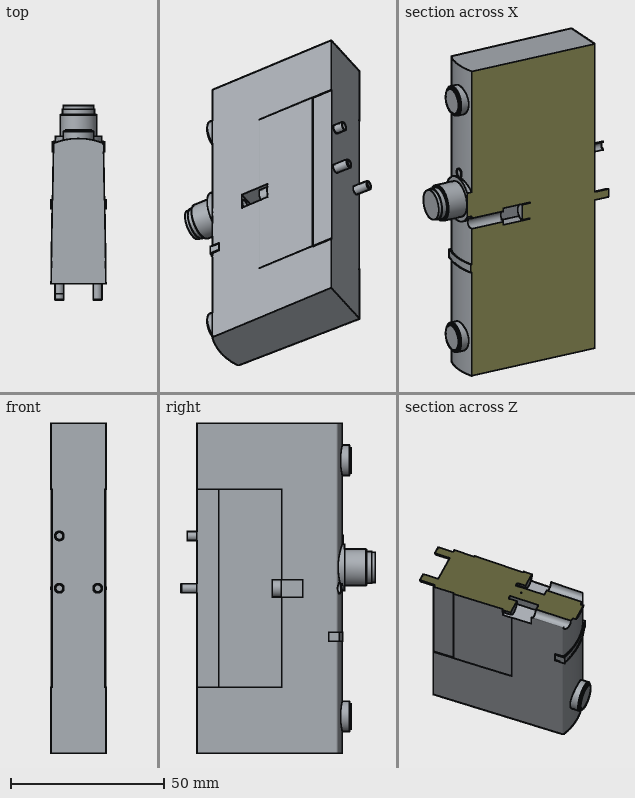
import cadquery as cq
import math

HOUSING_HEIGHT = 107.8
FRONT_HALF_WIDTH = 8.99
SIDE_DRAFT = math.radians(1.0)
BACK_CREST_Y = 47.5
BACK_RADIUS = 22.0
BACK_EDGE_FILLET = 0.7

PANEL_HEIGHT = 64.7
STRIP_END_Y = 7.2
STRIP_RECESS = 0.3
FIELD_END_Y = 27.7
FIELD_PROUD = 0.06
FIELD_END_BEVEL = 0.35

SCREW_X = 6.25
SCREW_DIAMETER = 3.0
SCREW_TIP_Y = -5.3
SCREW_HEAD_DIAMETER = 5.5
SCREW_HEAD_LENGTH = 3.0
PIN_CHAMFER = 0.3
POCKET_START_Y = 24.55
POCKET_END_Y = 34.55
POCKET_HEIGHT = 5.7
POCKET_INNER_X = 2.5
DRIVER_HOLE_DIAMETER = 3.5

LOCATING_PIN_Z = 17.1
LOCATING_PIN_TIP_Y = -3.2
LOCATING_PIN_BORE = 2.4

CONNECTOR_Z = 6.85
FLANGE_DIAMETER = 15.2
FLANGE_END_Y = 48.25
BARREL_DIAMETER = 12.0
BARREL_END_Y = 55.4
BARREL_CHAMFER = 0.3
COLLAR_DIAMETER = 10.5
TIP_DIAMETER = 10.0
COLLAR_END_Y = 57.1
CONNECTOR_END_Y = 58.3

CAP_DIAMETER = 10.0
CAP_RIM_Y = 50.0
CAP_CHAMFER = 0.3
CAP_TOP_DIAMETER = 8.35
CAP_END_Y = 50.4
CAP_Z = 41.8
INDICATOR_DIAMETER = 3.0
INDICATOR_Z = 15.9
INDICATOR_PROUD = 0.3
BAND_START_Y = 43.1
BAND_SHOULDER_Y = 46.5
BAND_HALF_WIDTH = 8.6
BAND_PROUD = 0.25
BAND_BOTTOM_Z = -17.3
BAND_HEIGHT = 2.9

BACK_ROOT_Y = 42.0

MARGIN = 1.0


def half_width(y):
    """Half width of the drafted housing at depth y."""
    return FRONT_HALF_WIDTH - y * math.tan(SIDE_DRAFT)


def back_y(x):
    """Depth of the rounded back at offset x from the middle."""
    return BACK_CREST_Y - BACK_RADIUS + math.sqrt(BACK_RADIUS**2 - x**2)


def prism(outline, bottom, height):
    """Extrude a closed XY outline upward from the given Z."""
    return outline.close().extrude(height).translate((0, 0, bottom))


def rod(diameter, start_y, end_y, x=0.0, z=0.0):
    """Cylinder along Y between two depths."""
    axis_plane = cq.Plane(origin=(x, start_y, z), xDir=(1, 0, 0), normal=(0, 1, 0))
    return cq.Workplane(axis_plane).circle(diameter / 2).extrude(end_y - start_y)


def make_housing():
    corner_x = half_width(back_y(half_width(BACK_CREST_Y)))
    corner_y = back_y(corner_x)
    outline = (
        cq.Workplane("XY")
        .moveTo(-FRONT_HALF_WIDTH, 0)
        .lineTo(FRONT_HALF_WIDTH, 0)
        .lineTo(corner_x, corner_y)
        .threePointArc((0, BACK_CREST_Y), (-corner_x, corner_y))
    )
    body = prism(outline, -HOUSING_HEIGHT / 2, HOUSING_HEIGHT)
    back_corners = cq.selectors.BoxSelector(
        (-FRONT_HALF_WIDTH, corner_y - MARGIN, -MARGIN),
        (FRONT_HALF_WIDTH, corner_y + MARGIN, MARGIN),
    )
    return body.edges("|Z").edges(back_corners).fillet(BACK_EDGE_FILLET)


def add_panel(body, side):
    field_tip_y = FIELD_END_Y - FIELD_END_BEVEL
    field = (
        cq.Workplane("XY")
        .moveTo(side * SCREW_X, STRIP_END_Y)
        .lineTo(side * (half_width(STRIP_END_Y) + FIELD_PROUD), STRIP_END_Y)
        .lineTo(side * (half_width(field_tip_y) + FIELD_PROUD), field_tip_y)
        .lineTo(side * half_width(FIELD_END_Y), FIELD_END_Y)
        .lineTo(side * SCREW_X, FIELD_END_Y)
    )
    strip = (
        cq.Workplane("XY")
        .moveTo(side * (FRONT_HALF_WIDTH - STRIP_RECESS), 0)
        .lineTo(side * (FRONT_HALF_WIDTH + STRIP_RECESS), 0)
        .lineTo(side * (FRONT_HALF_WIDTH + STRIP_RECESS), STRIP_END_Y)
        .lineTo(side * (half_width(STRIP_END_Y) - STRIP_RECESS), STRIP_END_Y)
    )
    panel_bottom = -PANEL_HEIGHT / 2
    body = body.union(prism(field, panel_bottom, PANEL_HEIGHT))
    return body.cut(prism(strip, panel_bottom, PANEL_HEIGHT))


def add_screw(body, side):
    x = side * SCREW_X
    pocket_depth = FRONT_HALF_WIDTH + MARGIN - POCKET_INNER_X
    pocket = cq.Workplane("XY").box(
        pocket_depth, POCKET_END_Y - POCKET_START_Y, POCKET_HEIGHT
    ).translate((
        side * (POCKET_INNER_X + pocket_depth / 2),
        (POCKET_START_Y + POCKET_END_Y) / 2,
        0,
    ))
    driver_hole = rod(DRIVER_HOLE_DIAMETER, POCKET_START_Y, BACK_CREST_Y, x)
    head = rod(SCREW_HEAD_DIAMETER, POCKET_START_Y, POCKET_START_Y + SCREW_HEAD_LENGTH, x)
    shank = rod(SCREW_DIAMETER, SCREW_TIP_Y, POCKET_START_Y, x)
    shank = shank.faces("<Y").chamfer(PIN_CHAMFER)
    return body.cut(pocket).cut(driver_hole).union(head).union(shank)


def add_locating_pin(body):
    pin = rod(SCREW_DIAMETER, LOCATING_PIN_TIP_Y, 0, -SCREW_X, LOCATING_PIN_Z)
    bore = rod(LOCATING_PIN_BORE, LOCATING_PIN_TIP_Y, 0, -SCREW_X, LOCATING_PIN_Z)
    return body.union(pin).cut(bore)


def make_connector():
    barrel = rod(BARREL_DIAMETER, FLANGE_END_Y, BARREL_END_Y, z=CONNECTOR_Z)
    barrel = barrel.faces(">Y").chamfer(BARREL_CHAMFER)
    return (
        rod(FLANGE_DIAMETER, BACK_ROOT_Y, FLANGE_END_Y, z=CONNECTOR_Z)
        .union(barrel)
        .union(rod(COLLAR_DIAMETER, BARREL_END_Y, COLLAR_END_Y, z=CONNECTOR_Z))
        .union(rod(TIP_DIAMETER, COLLAR_END_Y, CONNECTOR_END_Y, z=CONNECTOR_Z))
    )


def make_cap(z):
    cap = rod(CAP_DIAMETER, BACK_ROOT_Y, CAP_RIM_Y, z=z)
    cap = cap.faces(">Y").chamfer(CAP_CHAMFER)
    return cap.union(rod(CAP_TOP_DIAMETER, CAP_RIM_Y, CAP_END_Y, z=z))


def make_indicator():
    return rod(INDICATOR_DIAMETER, BACK_ROOT_Y, BACK_CREST_Y + INDICATOR_PROUD, z=INDICATOR_Z)


def make_band():
    outline = (
        cq.Workplane("XY")
        .moveTo(-BAND_HALF_WIDTH, BAND_START_Y)
        .lineTo(BAND_HALF_WIDTH, BAND_START_Y)
        .lineTo(BAND_HALF_WIDTH, BAND_SHOULDER_Y)
        .lineTo(half_width(BAND_SHOULDER_Y), BAND_SHOULDER_Y)
        .threePointArc(
            (0, BACK_CREST_Y + BAND_PROUD),
            (-half_width(BAND_SHOULDER_Y), BAND_SHOULDER_Y),
        )
        .lineTo(-BAND_HALF_WIDTH, BAND_SHOULDER_Y)
    )
    return prism(outline, BAND_BOTTOM_Z, BAND_HEIGHT)


result = make_housing()
for side in (-1, 1):
    result = add_panel(result, side)
for cap_z in (-CAP_Z, CAP_Z):
    result = result.union(make_cap(cap_z))
result = result.union(make_connector())
result = result.union(make_indicator())
result = result.union(make_band())
for side in (-1, 1):
    result = add_screw(result, side)
result = add_locating_pin(result)